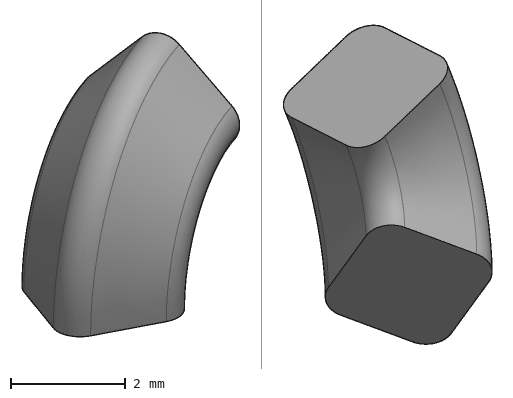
import cadquery as cq
import math

outer_radius = 4.0
inner_radius = 1.0
corner_radius = 0.5
bend_angle = 90.0

section_width = outer_radius - inner_radius
bend_radius = (outer_radius + inner_radius) / 2
corner_centre_offset = section_width / 2 - corner_radius
square_side = math.sqrt(2) * corner_centre_offset + 2 * corner_radius
square_tilt = 45.0


def rounded_diamond():
    """Section of the elbow, centred on its own origin."""
    return cq.Sketch().rect(square_side, square_side, angle=square_tilt).vertices().fillet(corner_radius)


def elbow():
    """Solid quarter bend about the X axis, from the XY plane up to the XZ plane."""
    section = rounded_diamond().moved(cq.Location(cq.Vector(0, -bend_radius, 0)))
    return cq.Workplane("XY").placeSketch(section).revolve(bend_angle, (0, 0, 0), (-1, 0, 0))


result = elbow()